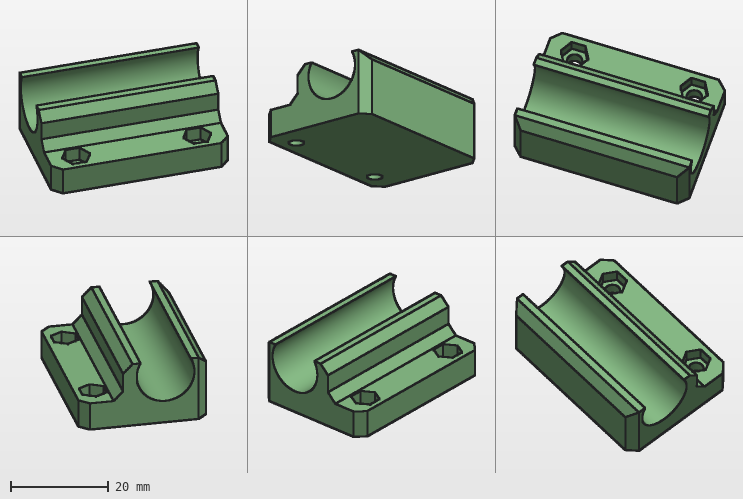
import cadquery as cq

clamp_width = 18.0
flange_width = 9.0
length = 38.0
height = 14.0
flange_height = 6.0
chamfer = 2.0
total_width = clamp_width + flange_width

bore_diameter = 12.2
bore_x = clamp_width / 2
bore_z = 11.0

screw_diameter = 3.2
nut_sides = 6
nut_turn = 90
nut_across_corners = 6.0
nut_depth = 3.0
screw_wall_distance = 5.0
screw_x = clamp_width + screw_wall_distance
screw_end_distance = 6.0
screw_positions = [
    (screw_x, screw_end_distance),
    (screw_x, length - screw_end_distance),
]


def make_body():
    """Extrude the clamp-and-flange cross-section along Y."""
    return (
        cq.Workplane("XZ")
        .moveTo(0, 0)
        .lineTo(total_width, 0)
        .lineTo(total_width, flange_height)
        .lineTo(clamp_width + chamfer, flange_height)
        .lineTo(clamp_width, flange_height + chamfer)
        .lineTo(clamp_width, height - chamfer)
        .lineTo(clamp_width - chamfer, height)
        .lineTo(chamfer, height)
        .lineTo(0, height - chamfer)
        .close()
        .extrude(-length)
    )


def make_corner_envelope():
    """Upright block whose chamfered corners trim the four corners of the body."""
    return (
        cq.Workplane("XY")
        .rect(total_width, length)
        .extrude(height)
        .edges("|Z")
        .chamfer(chamfer)
        .translate((total_width / 2, length / 2, 0))
    )


def make_bore():
    """Cylinder that leaves the rod channel, open at the top."""
    return (
        cq.Workplane("XZ")
        .center(bore_x, bore_z)
        .circle(bore_diameter / 2)
        .extrude(-length)
    )


def make_screw_hole(x, y):
    """Through hole with a nut pocket whose corners point along Y."""
    hole = cq.Workplane("XY").circle(screw_diameter / 2).extrude(flange_height)
    pocket = (
        cq.Workplane("XY")
        .workplane(offset=flange_height - nut_depth)
        .polygon(nut_sides, nut_across_corners)
        .extrude(nut_depth)
        .rotate((0, 0, 0), (0, 0, 1), nut_turn)
    )
    return hole.union(pocket).translate((x, y, 0))


result = make_body().intersect(make_corner_envelope()).cut(make_bore())
for x, y in screw_positions:
    result = result.cut(make_screw_hole(x, y))